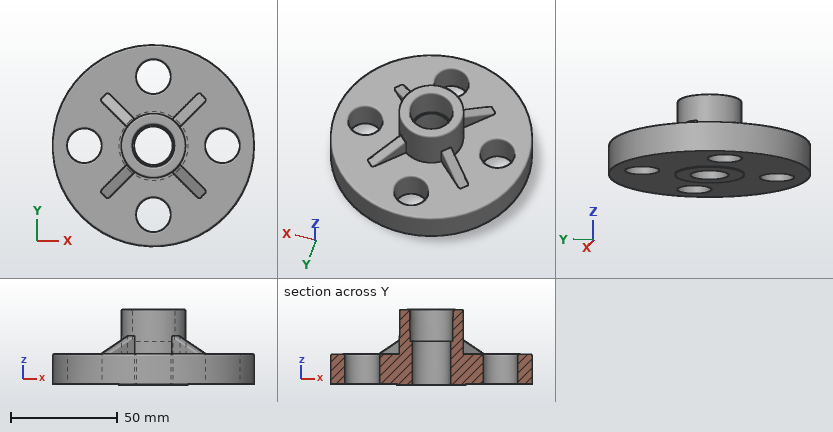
import cadquery as cq

flange_diameter = 95.0
flange_thickness = 14.2
raised_face_diameter = 32.5
raised_face_height = 0.5
flange_top = raised_face_height + flange_thickness

total_height = 35.7
hub_diameter = 30.3
bore_diameter = 18.0
socket_mouth_diameter = 20.2
socket_floor_diameter = 19.8
socket_depth = 15.0

bolt_hole_count = 4
bolt_hole_diameter = 16.2
bolt_circle_diameter = 65.0

rib_count = 4
rib_start_angle = 45.0
rib_width = 5.2
rib_reach = 33.0
rib_top = 23.2
rib_edge_radius = 0.8

edge_radius = 1.0


def disc(diameter, bottom, top):
    """Upright cylinder on the Z axis between two heights."""
    return cq.Workplane("XY").workplane(offset=bottom).circle(diameter / 2).extrude(top - bottom)


def make_flange():
    flange = disc(flange_diameter, raised_face_height, flange_top)
    flange = flange.cut(make_bolt_holes())
    flange = flange.faces(">Z").edges().fillet(edge_radius)
    return flange.union(disc(raised_face_diameter, 0, raised_face_height))


def make_bolt_holes():
    return (
        cq.Workplane("XY")
        .polarArray(bolt_circle_diameter / 2, 0, 360, bolt_hole_count)
        .circle(bolt_hole_diameter / 2)
        .extrude(total_height)
    )


def make_hub():
    hub = disc(hub_diameter, 0, total_height)
    hub = hub.cut(make_bore())
    return hub.faces(">Z").edges().fillet(edge_radius)


def make_bore():
    """Through bore opening into a socket that widens slightly towards its mouth."""
    socket_floor = total_height - socket_depth
    bore = disc(bore_diameter, 0, total_height)
    socket = (
        cq.Workplane("XY")
        .workplane(offset=socket_floor)
        .circle(socket_floor_diameter / 2)
        .workplane(offset=socket_depth)
        .circle(socket_mouth_diameter / 2)
        .loft()
    )
    return bore.union(socket)


def make_rib():
    """Rib along +X, sloping from the hub wall down to the flange."""
    hub_radius = hub_diameter / 2
    slope = (rib_top - flange_top) / (rib_reach - hub_radius)
    buried_depth = 2 * rib_edge_radius
    root_radius = hub_radius - buried_depth
    buried_bottom = flange_top - buried_depth
    rib = (
        cq.Workplane("XZ")
        .moveTo(root_radius, buried_bottom)
        .lineTo(rib_reach + buried_depth / slope, buried_bottom)
        .lineTo(hub_radius, rib_top)
        .lineTo(root_radius, rib_top)
        .close()
        .extrude(rib_width / 2, both=True)
    )
    upper_edges = rib.faces("<Y or >Y").edges("not (<Z or |Z)")
    return upper_edges.fillet(rib_edge_radius)


def build_part():
    part = make_flange().cut(make_bore()).union(make_hub())
    rib = make_rib()
    for index in range(rib_count):
        angle = rib_start_angle + index * 360 / rib_count
        part = part.union(rib.rotate((0, 0, 0), (0, 0, 1), angle))
    return part


result = build_part()